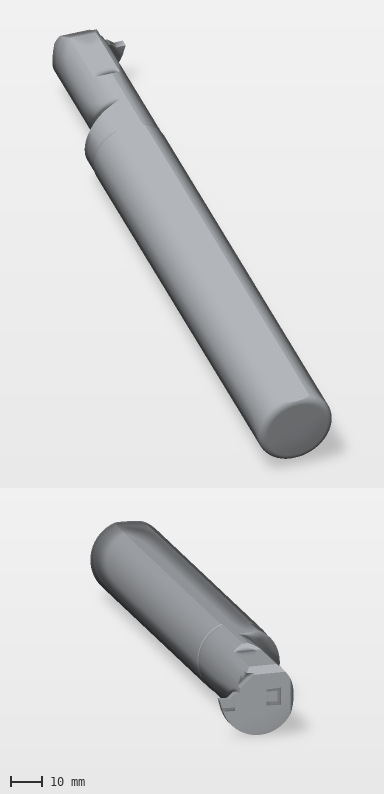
import cadquery as cq

length = 200.0
shank_radius = 12.5
neck_radius = 12.3
flat_height = 11.5
neck_end = 54.0
shank_start = 54.5
end_fillet = 2.5

head_offset = 6.0
head_radius = 12.0
head_end = 40.0
trim_growth = 12.0
trim_outer = 40.0

blade_thickness = 2.8
blade_top = -2.0

top_flat_height = 9.5
top_flat_tilt = 2.5
top_flat_end = 24.8
top_slope_end = 27.0
top_chamfer_length = 4.0
top_chamfer_drop = 1.8
side_chamfer_length = 1.8
side_chamfer_width = 1.5
relief_depth = 4.8
relief_low = (13.5, 1.8)
relief_high = (7.0, 8.0)

tip_y = 18.5
tip_bottom_y = 17.5
tip_land_y = 15.5
insert_body_y = 13.5
insert_inner_y = 3.3
insert_body_top = 1.8
insert_inner_top = 2.5
seat_low = -3.9
seat_bend_y = 12.0
seat_high = -2.7
pocket_inner_y = -1.5
pocket_inner_top = 3.0
tip_setback = 0.2
tip_facet_height = 1.2
tip_facet_length = 0.5
pocket_depth = 0.8
tenon_inner_y = -0.5
tenon_bottom = -1.5
tenon_top = 1.8
clear = 40.0


def extrude_yz(points, depth, start=0.0):
    """Prism with a (Y, Z) outline, running along +X."""
    return cq.Workplane("YZ").workplane(offset=start).polyline(points).close().extrude(depth)


def round_bar():
    profile = [
        (0, 0), (0, neck_radius), (neck_end, neck_radius), (shank_start, shank_radius),
        (length, shank_radius), (length, 0),
    ]
    bar = cq.Workplane("XY").polyline(profile).close().revolve(360, (0, 0, 0), (1, 0, 0))
    return bar.faces(">X").edges().fillet(end_fillet)


def flat_cutter(start, side):
    """Removes everything beyond the flat on the +Z (side 1) or -Z (side -1) face."""
    height = clear - flat_height
    return cq.Workplane("XY").box(length - start, clear, height, centered=(False, True, True)).translate(
        (start, 0, side * (flat_height + height / 2)))


def head_trim():
    """Everything outside the offset head circle, with a conical run-out into the neck."""
    profile = [
        (0, head_radius), (head_end, head_radius),
        (head_end + trim_growth, head_radius + trim_growth),
        (head_end + trim_growth, trim_outer), (0, trim_outer),
    ]
    ring = cq.Workplane("XY").polyline(profile).close().revolve(360, (0, 0, 0), (1, 0, 0))
    return ring.translate((0, head_offset, 0))


def blade():
    disc = cq.Workplane("YZ").center(head_offset, 0).circle(head_radius).extrude(blade_thickness)
    lower_side = extrude_yz([(0, blade_top), (clear, blade_top), (clear, -clear), (0, -clear)], blade_thickness)
    return disc.intersect(lower_side)


def top_flat_cutter():
    """Tilted flat with a front chamfer and a sloping rear end."""
    profile = [
        (0, top_flat_height - top_chamfer_drop), (top_chamfer_length, top_flat_height),
        (top_flat_end, top_flat_height), (top_slope_end, flat_height),
        (top_slope_end, clear), (0, clear),
    ]
    cutter = cq.Workplane("XZ").polyline(profile).close().extrude(clear / 2, both=True)
    pivot = (0, head_offset / 2, top_flat_height)
    pivot_end = (1, head_offset / 2, top_flat_height)
    return cutter.rotate(pivot, pivot_end, -top_flat_tilt)


def side_chamfer_cutter():
    side_y = head_offset - head_radius
    outline = [(0, side_y), (0, side_y + side_chamfer_width), (side_chamfer_length, side_y)]
    return cq.Workplane("XY").polyline(outline).close().extrude(clear / 2, both=True)


def relief_cutter():
    """Sloping clearance above the insert, with an angled rear wall flush with the blade back."""
    slope = extrude_yz([relief_low, relief_high, (clear, relief_high[1])], relief_depth)
    wall_bend_y = neck_radius - (relief_depth - blade_thickness)
    footprint = [
        (0, 0), (relief_depth, 0), (relief_depth, wall_bend_y), (blade_thickness, neck_radius),
        (blade_thickness, clear), (0, clear),
    ]
    return slope.intersect(cq.Workplane("XY").polyline(footprint).close().extrude(clear))


def insert_blank():
    outline = [
        (tip_y, 0), (tip_land_y, 0), (insert_body_y, insert_body_top),
        (insert_inner_y, insert_inner_top), (insert_inner_y, seat_high),
        (seat_bend_y, seat_low), (tip_bottom_y, seat_low),
    ]
    return extrude_yz(outline, blade_thickness)


def tenon():
    """Narrow inner end of the insert, set back from its front face and resting on the pocket floor."""
    outline = [
        (insert_inner_y, tenon_bottom), (insert_inner_y, tenon_top),
        (tenon_inner_y, tenon_top), (tenon_inner_y, tenon_bottom),
    ]
    return extrude_yz(outline, pocket_depth - tip_setback, tip_setback)


def make_insert():
    setback = cq.Workplane("XY").box(tip_setback, clear, clear, centered=(False, False, True))
    setback = setback.translate((0, insert_body_y, 0))
    facet_outline = [
        (0, seat_low), (0, seat_low + tip_facet_height), (tip_setback, seat_low + tip_facet_height),
        (tip_setback + tip_facet_length, seat_low),
    ]
    facet = cq.Workplane("XZ", origin=(0, clear, 0)).polyline(facet_outline).close()
    facet = facet.extrude(clear - insert_body_y)
    return insert_blank().union(tenon()).cut(setback).cut(facet)


def inner_pocket():
    """Shallow part of the insert pocket, leaving a gap around the tenon."""
    outline = [
        (insert_inner_y, insert_inner_top), (pocket_inner_y, pocket_inner_top),
        (pocket_inner_y, seat_high), (insert_inner_y, seat_high),
    ]
    return extrude_yz(outline, pocket_depth)


def make_holder():
    body = round_bar()
    body = body.cut(flat_cutter(0, 1))
    body = body.cut(flat_cutter(neck_end, -1))
    body = body.cut(head_trim())
    body = body.union(blade())
    body = body.cut(top_flat_cutter())
    body = body.cut(side_chamfer_cutter())
    body = body.cut(relief_cutter())
    return body.cut(insert_blank()).cut(inner_pocket())


holder = make_holder()
insert = make_insert()
result = cq.Compound.makeCompound([*holder.vals(), *insert.vals()])